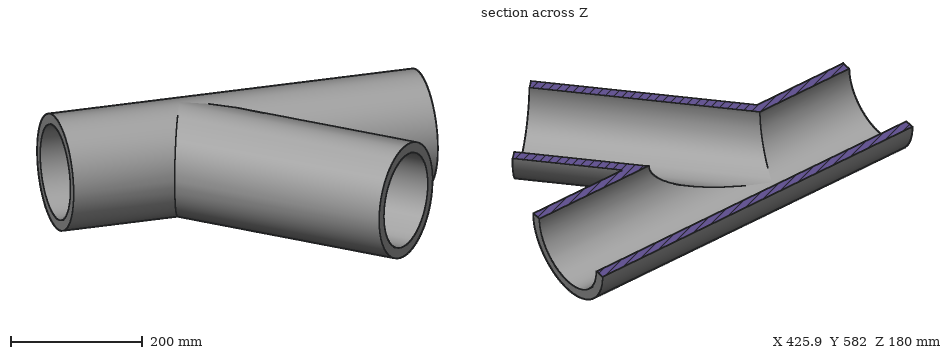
import cadquery as cq

outer_diameter = 180.0
bore_diameter = 147.0

run_length = 582.0
junction_height = 198.5

branch_angle = 45.0
branch_length = 385.0


def run_cylinder(diameter):
    """Cylinder over the full length of the straight run."""
    start_plane = cq.Workplane("XZ", origin=(0, -junction_height, 0))
    return start_plane.circle(diameter / 2).extrude(-run_length)


def branch_cylinder(diameter):
    """Cylinder from the meeting point of the axes to the end of the branch."""
    upright = cq.Workplane("XZ").circle(diameter / 2).extrude(-branch_length)
    return upright.rotate((0, 0, 0), (0, 0, 1), -branch_angle)


def wye(diameter):
    """Run and branch cylinders of one diameter, joined."""
    return run_cylinder(diameter).union(branch_cylinder(diameter))


result = wye(outer_diameter).cut(wye(bore_diameter))